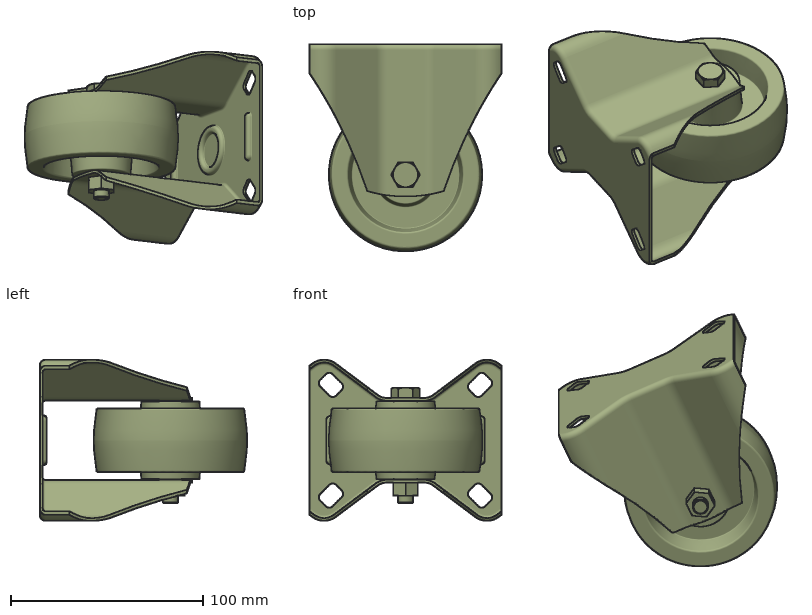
import cadquery as cq
import math


SHEET = 1.5
PLATE_WIDTH = 100.0
PLATE_BACK_Y = 68.0
LOBE_X = 42.4
LOBE_TOP_Z = 42.0
LOBE_RADIUS = 10.0
WAIST_FLAT_HALF = 9.8
WAIST_TOP_Z = 22.1
WAIST_RADIUS = 8.0
PLATE_BEND_RADIUS = 3.0
OVERHANG = 10.0
LEG_SIDE_Y = 52.7
LEG_TIP_HALF = 19.9
LEG_TIP_CORNER_Y = -8.5
LEG_TIP_Y = -11.4
LEG_EDGE_SAG = 2.3

SLOT_X = 38.8
SLOT_Z = 28.8
SLOT_LENGTH = 11.6
SLOT_WIDTH = 9.0
SLOT_CORNER_RADIUS = 2.5
SLOT_ANGLE = 45.0

BEAD_WIDTH = 4.8
BEAD_HEIGHT = 2.2
BEAD_ROUND = 1.8
BEAD_FOOT_ROUND = 0.35
BEAD_X = 38.9
BEAD_LENGTH = 25.4
RING_OUTER_RADIUS = 13.0
RING_WIDTH = 4.2

TREAD_RADIUS = 40.0
TREAD_EDGE_RADIUS = 38.4
TREAD_HALF_WIDTH = 16.6
TREAD_ROUND = 1.0
RECESS_RIM_RADIUS = 30.0
RECESS_FLOOR_RADIUS = 28.0
RECESS_RIM_ROUND = 1.0
RECESS_FLOOR_ROUND = 0.5
WEB_HALF_THICKNESS = 4.0
HUB_TOP_RADIUS = 15.2
HUB_FOOT_RADIUS = 16.6
HUB_FOOT_ROUND = 0.5
HUB_HALF_LENGTH = 20.2
HUB_EDGE_ROUND = 0.5

BOLT_RADIUS = 4.0
BOLT_END_Z = -32.8
BOLT_END_CHAMFER = 0.5
HEX_ACROSS_FLATS = 13.0
HEAD_HEIGHT = 5.3
HEAD_CHAMFER_ANGLE = 60.0
NUT_HEIGHT = 6.7
SLEEVE_RADIUS = 6.0

SELECT_TOLERANCE = 0.01

PLATE_FRONT_Y = PLATE_BACK_Y - SHEET
SLEEVE_HALF_LENGTH = WAIST_TOP_Z - SHEET


def point_on(center, radius, angle):
    """Point on a circle at an angle in radians."""
    return (center[0] + radius * math.cos(angle), center[1] + radius * math.sin(angle))


def quarter_bends(inset):
    """Points from the waist to past the lobe at +X +Z, the surface moved inward by the inset.

    The second and fifth points lie half-way round the two bends.
    """
    waist_center = (WAIST_FLAT_HALF, WAIST_TOP_Z + WAIST_RADIUS)
    lobe_center = (LOBE_X, LOBE_TOP_Z - LOBE_RADIUS)
    run = lobe_center[0] - waist_center[0]
    rise = lobe_center[1] - waist_center[1]
    slope = math.atan2(rise, run) + math.asin((WAIST_RADIUS + LOBE_RADIUS) / math.hypot(run, rise))
    waist = WAIST_RADIUS + inset
    lobe = LOBE_RADIUS - inset
    up = math.pi / 2
    lobe_end = point_on(lobe_center, lobe, up - slope)
    return [
        point_on(waist_center, waist, -up),
        point_on(waist_center, waist, -up + slope / 2),
        point_on(waist_center, waist, -up + slope),
        point_on(lobe_center, lobe, up + slope),
        point_on(lobe_center, lobe, up),
        lobe_end,
        (lobe_end[0] + OVERHANG, lobe_end[1] - OVERHANG * math.tan(slope)),
    ]


def profile_block(inset, back_y, bend_radius):
    """Solid of the bow-tie profile along Y, with the rim of its back face rounded."""
    right = quarter_bends(inset)
    upper = [(-x, z) for x, z in reversed(right)] + right
    lower = [(-x, -z) for x, z in upper]
    outline = cq.Workplane("XZ", origin=(0, back_y, 0)).moveTo(*lower[-1])
    for side in (upper, lower):
        outline = (
            outline.lineTo(*side[0])
            .lineTo(*side[1])
            .threePointArc(side[2], side[3])
            .lineTo(*side[4])
            .threePointArc(side[5], side[6])
            .lineTo(*side[7])
            .threePointArc(side[8], side[9])
            .lineTo(*side[10])
            .threePointArc(side[11], side[12])
            .lineTo(*side[13])
        )
    block = outline.close().extrude(back_y - LEG_TIP_Y + OVERHANG)
    back_rim = block.faces(">Y").edges("not |Z")
    return back_rim.fillet(bend_radius)


def leg_outline():
    """Prism along Z that trims the sheet to the plate width and the tapered legs."""
    plate_half = PLATE_WIDTH / 2
    chord_x = plate_half - LEG_TIP_HALF
    chord_y = LEG_SIDE_Y - LEG_TIP_CORNER_Y
    chord = math.hypot(chord_x, chord_y)
    mid_x = (plate_half + LEG_TIP_HALF) / 2 - LEG_EDGE_SAG * chord_y / chord
    mid_y = (LEG_SIDE_Y + LEG_TIP_CORNER_Y) / 2 + LEG_EDGE_SAG * chord_x / chord
    return (
        cq.Workplane("XY")
        .moveTo(-plate_half, PLATE_BACK_Y)
        .lineTo(-plate_half, LEG_SIDE_Y)
        .threePointArc((-mid_x, mid_y), (-LEG_TIP_HALF, LEG_TIP_CORNER_Y))
        .threePointArc((0, LEG_TIP_Y), (LEG_TIP_HALF, LEG_TIP_CORNER_Y))
        .threePointArc((mid_x, mid_y), (plate_half, LEG_SIDE_Y))
        .lineTo(plate_half, PLATE_BACK_Y)
        .close()
        .extrude(LOBE_TOP_Z + SHEET, both=True)
    )


def mounting_slots():
    """Four round-cornered slots through the plate, each pointing at its corner."""
    slots = cq.Workplane("XY")
    for side_x in (-1, 1):
        for side_z in (-1, 1):
            slot = (
                cq.Workplane("XZ")
                .rect(SLOT_LENGTH, SLOT_WIDTH)
                .extrude(-SHEET)
                .edges("|Y")
                .fillet(SLOT_CORNER_RADIUS)
                .rotate((0, 0, 0), (0, 1, 0), -SLOT_ANGLE * side_x * side_z)
                .translate((side_x * SLOT_X, PLATE_FRONT_Y, side_z * SLOT_Z))
            )
            slots = slots.add(slot)
    return slots.combine()


def rounded_bead(outline):
    """Raise a bead from its outline on the plate and round its top edges."""
    return outline.extrude(BEAD_HEIGHT).faces("<Y").edges().fillet(BEAD_ROUND)


def straight_bead(side):
    outline = cq.Workplane("XZ", origin=(side * BEAD_X, PLATE_FRONT_Y, 0))
    return rounded_bead(outline.slot2D(BEAD_LENGTH, BEAD_WIDTH, 90))


def ring_bead():
    outline = cq.Workplane("XZ", origin=(0, PLATE_FRONT_Y, 0))
    return rounded_bead(outline.circle(RING_OUTER_RADIUS).circle(RING_OUTER_RADIUS - RING_WIDTH))


def bead_foot_edges():
    """Selects the edges where the beads rise from the plate."""
    reach_x = BEAD_X + BEAD_WIDTH
    reach_z = BEAD_LENGTH / 2 + BEAD_WIDTH
    return cq.selectors.BoxSelector(
        (-reach_x, PLATE_FRONT_Y - SELECT_TOLERANCE, -reach_z),
        (reach_x, PLATE_FRONT_Y + SELECT_TOLERANCE, reach_z),
    )


def make_bracket():
    """Sheet bracket: a slotted, beaded plate and two legs, with a hole for the bolt."""
    outer = profile_block(0, PLATE_BACK_Y, PLATE_BEND_RADIUS)
    inner = profile_block(SHEET, PLATE_FRONT_Y, PLATE_BEND_RADIUS - SHEET)
    sheet = outer.cut(inner).intersect(leg_outline())
    axle_hole = cq.Workplane("XY").circle(BOLT_RADIUS).extrude(LOBE_TOP_Z, both=True)
    bracket = sheet.cut(mounting_slots()).cut(axle_hole)
    bracket = bracket.union(straight_bead(-1)).union(straight_bead(1)).union(ring_bead())
    return bracket.edges(bead_foot_edges()).fillet(BEAD_FOOT_ROUND)


class RimSelector(cq.Selector):
    """Picks the circular edges of one radius at one height."""

    def __init__(self, radius, height):
        self.radius = radius
        self.height = height

    def filter(self, edges):
        return [
            edge
            for edge in edges
            if edge.geomType() == "CIRCLE"
            and abs(edge.radius() - self.radius) < SELECT_TOLERANCE
            and abs(edge.Center().z - self.height) < SELECT_TOLERANCE
        ]


def make_wheel():
    """Crowned wheel with a recess and a tapered hub on each side, made as two mirrored halves."""
    half_width = TREAD_HALF_WIDTH
    crown_drop = TREAD_RADIUS - TREAD_EDGE_RADIUS
    crown_radius = (half_width**2 + crown_drop**2) / (2 * crown_drop)
    mid_angle = math.asin(half_width / crown_radius) / 2
    crown_point = point_on((TREAD_RADIUS - crown_radius, 0), crown_radius, mid_angle)
    half_section = (
        cq.Workplane("XZ")
        .moveTo(SLEEVE_RADIUS, 0)
        .lineTo(SLEEVE_RADIUS, HUB_HALF_LENGTH)
        .lineTo(HUB_TOP_RADIUS, HUB_HALF_LENGTH)
        .lineTo(HUB_FOOT_RADIUS, WEB_HALF_THICKNESS)
        .lineTo(RECESS_FLOOR_RADIUS, WEB_HALF_THICKNESS)
        .lineTo(RECESS_RIM_RADIUS, half_width)
        .lineTo(TREAD_EDGE_RADIUS, half_width)
        .threePointArc(crown_point, (TREAD_RADIUS, 0))
        .close()
    )
    half = half_section.revolve(360, (0, 0, 0), (0, 1, 0))
    rounds = (
        (TREAD_EDGE_RADIUS, TREAD_HALF_WIDTH, TREAD_ROUND),
        (RECESS_RIM_RADIUS, TREAD_HALF_WIDTH, RECESS_RIM_ROUND),
        (RECESS_FLOOR_RADIUS, WEB_HALF_THICKNESS, RECESS_FLOOR_ROUND),
        (HUB_FOOT_RADIUS, WEB_HALF_THICKNESS, HUB_FOOT_ROUND),
        (HUB_TOP_RADIUS, HUB_HALF_LENGTH, HUB_EDGE_ROUND),
    )
    for edge_radius, height, round_radius in rounds:
        half = half.edges(RimSelector(edge_radius, height)).fillet(round_radius)
    return half.union(half.mirror("XY"))


def hexagon(height):
    """Hexagonal prism with two corners on the X axis."""
    across_corners = HEX_ACROSS_FLATS / math.cos(math.pi / 6)
    return cq.Workplane("XY").polygon(6, across_corners).extrude(height)


def make_sleeve():
    return (
        cq.Workplane("XY")
        .circle(SLEEVE_RADIUS)
        .circle(BOLT_RADIUS)
        .extrude(SLEEVE_HALF_LENGTH, both=True)
    )


def make_bolt():
    corner_cone = (
        cq.Workplane("XY", origin=(0, 0, HEAD_HEIGHT))
        .circle(HEX_ACROSS_FLATS / 2)
        .extrude(-HEAD_HEIGHT, taper=-HEAD_CHAMFER_ANGLE)
    )
    head = hexagon(HEAD_HEIGHT).intersect(corner_cone).translate((0, 0, WAIST_TOP_Z))
    shank = (
        cq.Workplane("XY", origin=(0, 0, WAIST_TOP_Z))
        .circle(BOLT_RADIUS)
        .extrude(BOLT_END_Z - WAIST_TOP_Z)
        .faces("<Z")
        .chamfer(BOLT_END_CHAMFER)
    )
    return shank.union(head)


def make_nut():
    blank = hexagon(NUT_HEIGHT).rotate((0, 0, 0), (0, 0, 1), 90)
    bore = cq.Workplane("XY").circle(BOLT_RADIUS).extrude(NUT_HEIGHT)
    return blank.cut(bore).translate((0, 0, -WAIST_TOP_Z - NUT_HEIGHT))


bracket = make_bracket()
wheel = make_wheel()
sleeve = make_sleeve()
bolt = make_bolt()
nut = make_nut()

result = cq.Compound.makeCompound(
    [bracket.val(), wheel.val(), sleeve.val(), bolt.val(), nut.val()]
)